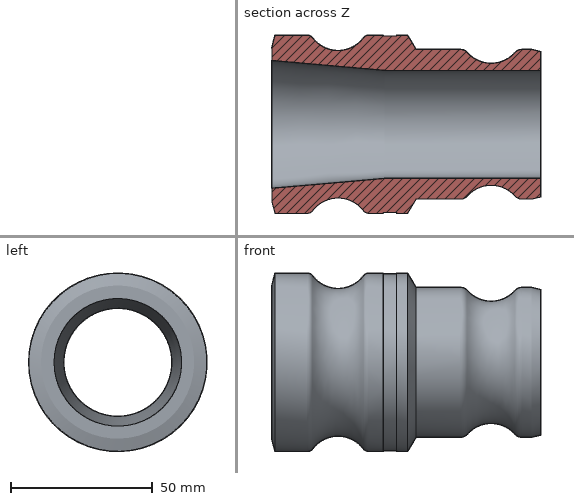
import cadquery as cq
import math

LENGTH = 95.0
LARGE_RADIUS = 63.0 / 2
SMALL_RADIUS = 53.0 / 2

BORE_ENTRY_RADIUS = 45.0 / 2
BORE_RADIUS = 38.0 / 2
BORE_TAPER_LENGTH = 40.0

LARGE_FACE_RADIUS = 27.0
LARGE_CHAMFER_LENGTH = 1.15
SMALL_FACE_RADIUS = 25.7
SMALL_CHAMFER_LENGTH = 3.3

GROOVE_ARC_RADIUS = 11.2
LARGE_GROOVE_X = 23.45
LARGE_GROOVE_FLOOR_RADIUS = 26.1
LARGE_LIP_RADIUS = 2.3
SMALL_GROOVE_X = 77.45
SMALL_GROOVE_FLOOR_RADIUS = 21.6
SMALL_LIP_RADIUS = 3.3

BAND_RADIUS = 62.5 / 2
BAND_DEPTH = LARGE_RADIUS - BAND_RADIUS
BAND_START_X = 39.55
BAND_END_X = 44.15
SHOULDER_START_X = 48.0
SHOULDER_END_X = 51.0


def add_cam_groove(profile, groove_x, floor_radius, rim_radius, lip_radius):
    """Extend the profile to a groove and across it: lip arc, floor arc, lip arc."""
    arc_center_y = floor_radius + GROOVE_ARC_RADIUS
    lip_center_y = rim_radius - lip_radius
    center_distance = GROOVE_ARC_RADIUS + lip_radius
    drop = arc_center_y - lip_center_y
    half_width = math.sqrt(center_distance**2 - drop**2)
    tangent_angle = math.atan2(drop, half_width)
    mid_lip_angle = (tangent_angle + math.pi / 2) / 2

    def lip_point(side, angle):
        inset = half_width - lip_radius * math.cos(angle)
        return (groove_x + side * inset, lip_center_y + lip_radius * math.sin(angle))

    near, far = -1, 1
    return (
        profile.lineTo(groove_x - half_width, rim_radius)
        .threePointArc(lip_point(near, mid_lip_angle), lip_point(near, tangent_angle))
        .threePointArc((groove_x, floor_radius), lip_point(far, tangent_angle))
        .threePointArc(lip_point(far, mid_lip_angle), (groove_x + half_width, rim_radius))
    )


def make_adapter():
    """Revolve the half section (x along the axis, y outward) about the X axis."""
    profile = (
        cq.Workplane("XY")
        .moveTo(0, BORE_ENTRY_RADIUS)
        .lineTo(0, LARGE_FACE_RADIUS)
        .lineTo(LARGE_CHAMFER_LENGTH, LARGE_RADIUS)
    )
    profile = add_cam_groove(
        profile, LARGE_GROOVE_X, LARGE_GROOVE_FLOOR_RADIUS, LARGE_RADIUS, LARGE_LIP_RADIUS
    )
    profile = (
        profile.lineTo(BAND_START_X - BAND_DEPTH, LARGE_RADIUS)
        .lineTo(BAND_START_X, BAND_RADIUS)
        .lineTo(BAND_END_X, BAND_RADIUS)
        .lineTo(BAND_END_X, LARGE_RADIUS)
        .lineTo(SHOULDER_START_X, LARGE_RADIUS)
        .lineTo(SHOULDER_END_X, SMALL_RADIUS)
    )
    profile = add_cam_groove(
        profile, SMALL_GROOVE_X, SMALL_GROOVE_FLOOR_RADIUS, SMALL_RADIUS, SMALL_LIP_RADIUS
    )
    profile = (
        profile.lineTo(LENGTH - SMALL_CHAMFER_LENGTH, SMALL_RADIUS)
        .lineTo(LENGTH, SMALL_FACE_RADIUS)
        .lineTo(LENGTH, BORE_RADIUS)
        .lineTo(BORE_TAPER_LENGTH, BORE_RADIUS)
        .close()
    )
    return profile.revolve(360, (0, 0, 0), (1, 0, 0))


result = make_adapter()